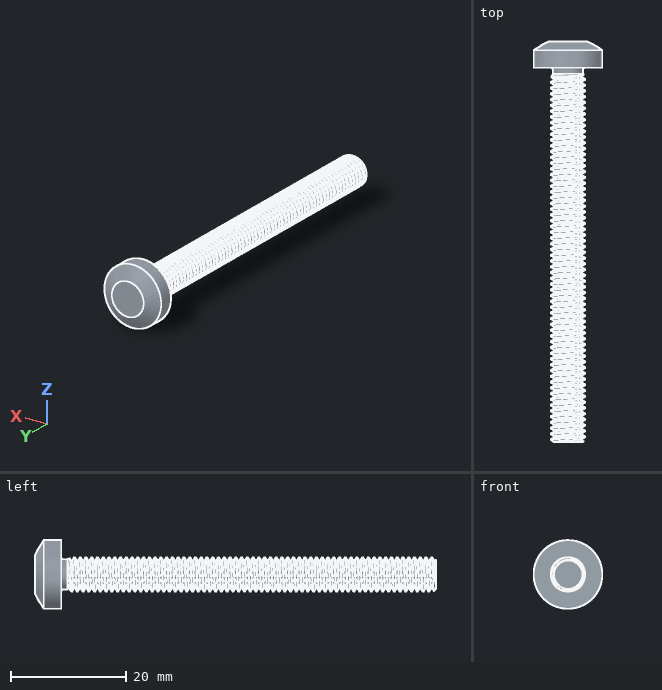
import cadquery as cq
import math

overall_length = 69.6
head_height = 4.6
shank_length = overall_length - head_height

head_diameter = 12.0
head_rim_height = 3.05
head_top_diameter = 6.7
dome_bulge = 0.1

thread_diameter = 6.0
thread_turns = 64
thread_pitch = shank_length / (thread_turns + 1)
thread_length = thread_turns * thread_pitch
start_angle = 2.0

flank_half_angle = 30.0
crest_share = 1 / 8
root_share = 1 / 4
flank_share = (1 - crest_share - root_share) / 2
thread_depth = flank_share * thread_pitch / math.tan(math.radians(flank_half_angle))
crest_radius = thread_diameter / 2
root_radius = crest_radius - thread_depth
flank_intervals = 12

tip_diameter = 5.0
tip_chamfer_length = 0.5
neck_diameter = 5.3
neck_fillet = 0.3
runout_length = 0.85
cutter_margin = 0.7

axis_start = (0, 0, 0)
axis_end = (0, 1, 0)


def polar(radius, degrees):
    """Point of the thread cross-section at a radius and an angle."""
    angle = math.radians(degrees)
    return (radius * math.cos(angle), radius * math.sin(angle))


def thread_section():
    """Cross-section of the threaded rod: crest arc, root arc and two spiral flanks."""
    crest_end = 180 * crest_share
    flank_sweep = 360 * flank_share
    root_start = crest_end + flank_sweep

    def falling_flank(t):
        return polar(crest_radius - thread_depth * t, crest_end + flank_sweep * t)

    def rising_flank(t):
        return polar(root_radius + thread_depth * t, -root_start + flank_sweep * t)

    return (
        cq.Workplane("XY")
        .moveTo(*polar(crest_radius, -crest_end))
        .threePointArc(polar(crest_radius, 0), polar(crest_radius, crest_end))
        .parametricCurve(falling_flank, N=flank_intervals, makeWire=False)
        .threePointArc(polar(root_radius, 180), polar(root_radius, -root_start))
        .parametricCurve(rising_flank, N=flank_intervals, makeWire=False)
        .wire()
    )


def threaded_rod(first_turn, turns):
    """Right-handed thread of whole turns, starting a number of turns from the tip."""
    return (
        thread_section()
        .twistExtrude(turns * thread_pitch, 360 * turns)
        .rotate((0, 0, 0), (0, 0, 1), start_angle)
        .rotate((0, 0, 0), (1, 0, 0), -90)
        .translate((0, first_turn * thread_pitch, 0))
    )


def cone_cutter(end_y, end_radius, length, outward):
    """Ring that leaves a cone from end_radius at end_y to the crest, length further in.

    outward is the Y direction (1 or -1) in which the thread ends.
    """
    slope = (crest_radius - end_radius) / length
    outer_radius = crest_radius + cutter_margin
    inner_radius = end_radius - cutter_margin * slope
    outer_y = end_y + outward * cutter_margin
    inner_y = end_y - outward * (outer_radius - end_radius) / slope
    return (
        cq.Workplane("XY")
        .polyline([(inner_radius, outer_y), (outer_radius, inner_y), (outer_radius, outer_y)])
        .close()
        .revolve(360, axis_start, axis_end)
    )


def make_head_and_neck():
    """Plain neck flared into a head with a cylindrical rim, a domed cone and a flat top."""
    neck_radius = neck_diameter / 2
    rim_radius = head_diameter / 2
    top_radius = head_top_diameter / 2
    rim_top = shank_length + head_rim_height
    fillet_middle = neck_fillet * (1 - math.sqrt(0.5))
    dome_middle = (
        (rim_radius + top_radius) / 2 + dome_bulge,
        (rim_top + overall_length) / 2 + dome_bulge,
    )
    return (
        cq.Workplane("XY")
        .moveTo(0, thread_length)
        .lineTo(neck_radius, thread_length)
        .lineTo(neck_radius, shank_length - neck_fillet)
        .threePointArc(
            (neck_radius + fillet_middle, shank_length - fillet_middle),
            (neck_radius + neck_fillet, shank_length),
        )
        .lineTo(rim_radius, shank_length)
        .lineTo(rim_radius, rim_top)
        .threePointArc(dome_middle, (top_radius, overall_length))
        .lineTo(0, overall_length)
        .close()
        .revolve(360, axis_start, axis_end)
    )


tip_turn = threaded_rod(0, 1).cut(cone_cutter(0, tip_diameter / 2, tip_chamfer_length, -1))
last_turn = threaded_rod(thread_turns - 1, 1).cut(
    cone_cutter(thread_length, neck_diameter / 2, runout_length, 1)
)
middle_turn = threaded_rod(1, 1)
head_end = last_turn.union(make_head_and_neck())

outer_faces = tip_turn.faces("not >Y").vals() + head_end.faces("not <Y").vals()
for turn in range(thread_turns - 2):
    offset = cq.Vector(0, turn * thread_pitch, 0)
    outer_faces += [face.translate(offset) for face in middle_turn.faces("not |Y").vals()]

result = cq.Workplane(cq.Solid.makeSolid(cq.Shell.makeShell(outer_faces)))